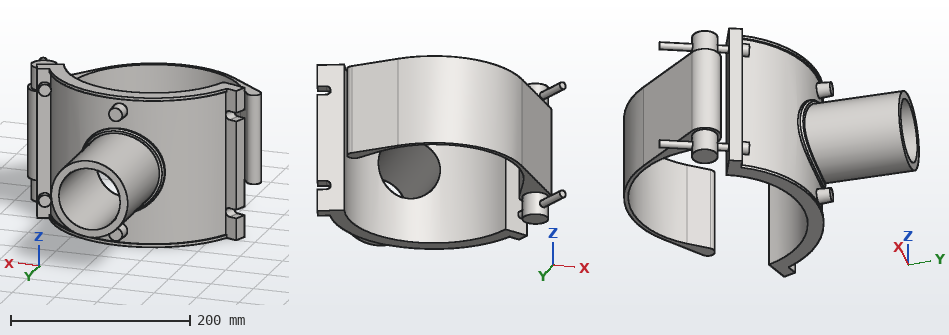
import cadquery as cq
import math


height = 176.0
bore_radius = 100.0
shell_radius = 116.0
rim_radius = 118.0
rim_height = 3.5
half_gap_angle = 20.0

flange_radius = 130.3
flange_thickness = 15.0
slot_width = 10.0
slot_depth = 15.0
slot_z = 57.2

pipe_diameter = 90.0
pipe_bore = 72.0
pipe_end_y = 220.0
collar_diameter = 99.0
collar_radius = 120.2
collar_chamfer = 2.0

terminal_end_y = 131.0
terminal_z = 70.5
terminal_end_diameter = 15.5
terminal_base_diameter = 18.0

bolt_radius_position = 121.8
hinge_drop = 26.3

strap_height = 105.0
strap_thickness = 5.0
hub_radius = 18.2
trunnion_diameter = 29.0
trunnion_length = 158.0
bead_radius = 8.0
bead_distance = 111.8
bead_angle = 200.5

bolt_diameter = 8.5
bolt_end_drop = 77.0
head_diameter = 14.0
head_height = 8.0
bolt_z = 65.3


def polar(radius, degrees):
    angle = math.radians(degrees)
    return (radius * math.cos(angle), radius * math.sin(angle))


def flange_point(along, drop):
    """Point at a distance along the right-hand flange face and a drop below it."""
    x_along, y_along = polar(along, half_gap_angle)
    x_drop, y_drop = polar(drop, half_gap_angle - 90)
    return (x_along + x_drop, y_along + y_drop)


def disc(radius, length):
    """Cylinder on the Z axis, centred on Z = 0."""
    return cq.Workplane("XY").circle(radius).extrude(length / 2, both=True)


def rod_along_y(diameter, end_y):
    """Cylinder from the clamp axis out along +Y."""
    return cq.Workplane("XZ").circle(diameter / 2).extrude(-end_y)


def arc_sector(radius, length):
    """Part of a cylinder that lies above both flange contact faces."""
    angles = (half_gap_angle, 90, 180 - half_gap_angle)
    start, middle, end = [polar(radius, angle) for angle in angles]
    profile = cq.Workplane("XY").lineTo(*start).threePointArc(middle, end).close()
    return profile.extrude(length / 2, both=True)


def make_shell():
    shell = arc_sector(shell_radius, height)
    rim_offset = (height - rim_height) / 2
    for z in (-rim_offset, rim_offset):
        shell = shell.union(arc_sector(rim_radius, rim_height).translate((0, 0, z)))
    return shell


def make_flange():
    """Right-hand flange, from inside the shell wall outwards."""
    root = (bore_radius + shell_radius) / 2
    corners = [
        flange_point(root, 0),
        flange_point(flange_radius, 0),
        flange_point(flange_radius, -flange_thickness),
        flange_point(root, -flange_thickness),
    ]
    return cq.Workplane("XY").polyline(corners).close().extrude(height / 2, both=True)


def make_slot_cutter(z):
    """Open-ended slot with a round inner end, cut square through the left-hand flange."""
    overrun = 6.5
    round_centre = flange_radius - slot_depth + slot_width / 2
    straight = flange_radius + overrun - round_centre
    depth = flange_thickness + 2 * overrun
    outward = polar(1, 180 - half_gap_angle)
    normal = polar(1, 90 - half_gap_angle)
    origin_x, origin_y = polar(round_centre, 180 - half_gap_angle)
    plane = cq.Plane(
        origin=(origin_x - overrun * normal[0], origin_y - overrun * normal[1], z),
        xDir=(*outward, 0),
        normal=(*normal, 0),
    )
    end = cq.Workplane(plane).circle(slot_width / 2).extrude(depth)
    run = cq.Workplane(plane).center(straight / 2, 0).rect(straight, slot_width).extrude(depth)
    return end.union(run)


def make_collar():
    """Round pad that follows the shell, with a bevelled outer edge."""
    pad = disc(collar_radius, height).intersect(rod_along_y(collar_diameter, pipe_end_y))
    outer_face = pad.faces("%CYLINDER").faces(
        cq.selectors.NearestToPointSelector((0, collar_radius, 0))
    )
    return outer_face.edges().chamfer(collar_chamfer)


def make_terminal(z):
    embed = 3.2
    base_y = shell_radius - embed
    return (
        cq.Workplane("XZ", origin=(0, base_y, z))
        .circle(terminal_base_diameter / 2)
        .workplane(offset=base_y - terminal_end_y)
        .circle(terminal_end_diameter / 2)
        .loft()
    )


def make_saddle(bolts):
    saddle = make_shell()
    right_flange = make_flange()
    saddle = saddle.union(right_flange).union(right_flange.mirror("YZ"))
    saddle = saddle.union(rod_along_y(pipe_diameter, pipe_end_y)).union(make_collar())
    for side in (-1, 1):
        saddle = saddle.union(make_terminal(side * terminal_z))
    saddle = saddle.cut(disc(bore_radius, height)).cut(rod_along_y(pipe_bore, pipe_end_y))
    for side in (-1, 1):
        saddle = saddle.cut(make_slot_cutter(side * slot_z))
    for bolt in bolts:
        saddle = saddle.cut(bolt)
    return saddle


def make_bolt(z):
    """Bolt square to the right-hand flange, head on the flange's back face."""
    head_x, head_y = flange_point(bolt_radius_position, -flange_thickness)
    plane = cq.Plane(
        origin=(head_x, head_y, z),
        xDir=(0, 0, 1),
        normal=(*polar(1, half_gap_angle - 90), 0),
    )
    shank = cq.Workplane(plane).circle(bolt_diameter / 2).extrude(flange_thickness + bolt_end_drop)
    head = cq.Workplane(plane).circle(head_diameter / 2).extrude(-head_height)
    return shank.union(head)


def make_strap(bolts):
    """Strap whose straight runs are tangent to its arcs, its hinge hub and its end bead."""
    outer_radius = bore_radius + strap_thickness
    hub = flange_point(bolt_radius_position, hinge_drop)
    hub_distance = math.hypot(*hub)
    hub_angle = math.degrees(math.atan2(hub[1], hub[0]))
    bead = polar(bead_distance, bead_angle)

    def turn(ratio):
        return math.degrees(math.acos(ratio))

    hub_inner = hub_angle - turn((bore_radius + hub_radius) / hub_distance)
    hub_outer = hub_angle - turn((outer_radius - hub_radius) / hub_distance)
    bead_inner = bead_angle + turn((bore_radius + bead_radius) / bead_distance)
    bead_outer = bead_angle + turn((outer_radius - bead_radius) / bead_distance)

    def around(centre, radius, degrees):
        x, y = polar(radius, degrees)
        return (centre[0] + x, centre[1] + y)

    profile = (
        cq.Workplane("XY")
        .moveTo(*polar(bore_radius, bead_inner))
        .threePointArc(polar(bore_radius, -90), polar(bore_radius, hub_inner))
        .lineTo(*around(hub, hub_radius, hub_inner + 180))
        .threePointArc(around(hub, hub_radius, hub_angle), around(hub, hub_radius, hub_outer))
        .lineTo(*polar(outer_radius, hub_outer))
        .threePointArc(polar(outer_radius, -90), polar(outer_radius, bead_outer))
        .lineTo(*around(bead, bead_radius, bead_outer))
        .threePointArc(
            around(bead, bead_radius, bead_angle),
            around(bead, bead_radius, bead_inner - 180),
        )
        .close()
    )
    strap = profile.extrude(strap_height / 2, both=True)
    strap = strap.union(disc(trunnion_diameter / 2, trunnion_length).translate((*hub, 0)))
    for bolt in bolts:
        strap = strap.cut(bolt)
    return strap


bolts = [make_bolt(side * bolt_z) for side in (-1, 1)]
saddle = make_saddle(bolts)
strap = make_strap(bolts)

result = cq.Compound.makeCompound(
    [saddle.solids().val(), strap.solids().val(), *[bolt.solids().val() for bolt in bolts]]
)